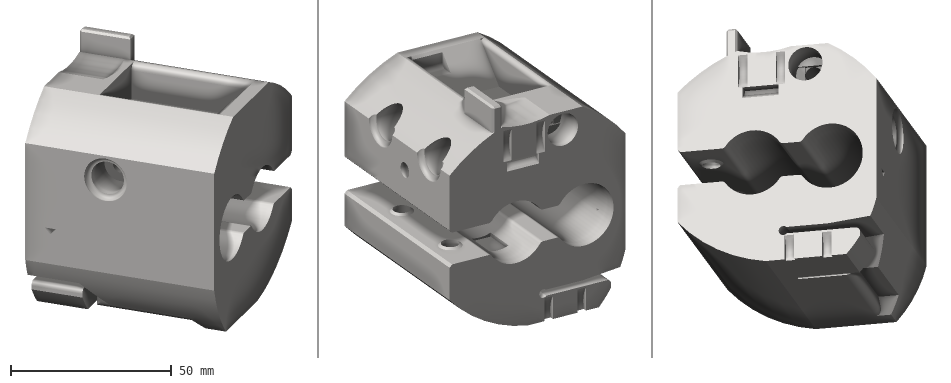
import cadquery as cq
length = 63.5
width = 63.9
top_z = 70.5
tab_top_z = 78.05

front_low_z = 17.8
front_high_z = 57.45
front_shoulder_mid = (7.25, 64.85)
flat_front_y = 15.6
flat_back_y = 44.7
rear_shoulder_mid = (55.0, 65.3)
rear_high_z = 58.4
rear_low_z = 15.5
rear_belly_mid = (51.1, 5.3)
bottom_back_y = 35.6
bottom_front_y = 9.7
front_belly_mid = (4.0, 7.8)

bore_radius = 10.6
bore_z = 33.1
bore_ys = (15.0, 39.8)
gap_height = 10.9
gap_round = 1.4
mouth_chamfer = 0.9
lower_jaw_z = bore_z - gap_height / 2
upper_jaw_z = bore_z + gap_height / 2

screw_xs = (12.5, 41.7)
screw_y = 56.2
screw_radius = 2.9
collar_radius = 3.8
collar_height = 0.6
screw_depth = 7.8

counterbore_radius = 5.5
counterbore_flare = 1.7
counterbore_depth = 12.5
front_hole_x = 27.0
front_hole_z = 49.4
front_hole_radius = 2.6
access_z = 58.9

room_x0 = 18.5
room_x1 = 59.0
room_floor_x1 = 47.6
room_y0 = 17.3
room_y1 = 42.3
room_floor_z = 58.5
room_front_round = 1.65
room_back_round = 2.3

catch_x0 = 52.5
catch_x1 = 58.15
catch_y0 = 31.5
catch_z0 = 64.4
catch_z1 = 69.7
catch_round = 1.6

tab_length = 17.1
tab_y0 = 44.7
tab_y1 = 48.2
tab_base_z = 62.45
tab_chamfer = 0.6
seat_y0 = 27.55
seat_sag = 1.2
seat_length = 15.0
seat_runout = 1.7

cable_y = 22.8
cable_z = 64.2
cable_bore_radius = 5.5
cable_hole_radius = 2.65
cable_bore_depth = 9.4
bridge_step = 0.6

groove_width = 3.05
groove_half_height = 5.35
groove_depth = 1.7
upper_groove_ys = (29.3, 41.4)
upper_groove_z = 63.6
lower_groove_ys = (14.4, 26.4)
lower_groove_z = 2.6

latch_y0 = 31.4
latch_y1 = 43.0
latch_z0 = 54.7
latch_z1 = 58.2
latch_lip_x = 0.6
latch_lip_z = 55.25
latch_break_x = 2.35
latch_break_z = 56.35
latch_depth = 3.5

clip_length = tab_length
slot_root_y = 29.9
slot_root_z = 9.6
slot_root_radius = 1.5
slot_low_z = 8.6
slot_high_z = 10.7
slot_mouth_z = 12.2
slot_bend_y = 15.6
clip_tip_y = 5.2
clip_tip_round = 1.6
relief_ledge_z = 4.5
relief_ledge_x0 = 25.75
relief_ledge_x1 = 52.0
relief_x1 = 56.7
relief_wall_y = 12.5
relief_round = 2.0
slit_x1 = 18.35

sight_x = 8.5
sight_top_z = 29.9
sight_half_width = 1.95
sight_height = 2.0
sight_depth = 6.25
sight_taper = 6

recess_x0 = 10.9
recess_length = 10.9
recess_y0 = 35.9
recess_y1 = 42.9
recess_z = 21.85

overshoot = 3.9


def box(x0, x1, y0, y1, z0, z1):
    """Box between opposite corners."""
    return cq.Workplane("XY").box(x1 - x0, y1 - y0, z1 - z0, centered=False).translate((x0, y0, z0))


def cylinder(radius, height, start, direction):
    """Cylinder from a start point along a direction."""
    return cq.Workplane(cq.Solid.makeCylinder(radius, height, cq.Vector(*start), cq.Vector(*direction)))


def cone(radius0, radius1, height, start, direction):
    """Truncated cone from a start point along a direction."""
    return cq.Workplane(
        cq.Solid.makeCone(radius0, radius1, height, cq.Vector(*start), cq.Vector(*direction))
    )


def flared_bore(x, y, z, direction):
    """Bore along Y, entered at (x, y, z), with a rounded mouth."""
    outer_radius = counterbore_radius + counterbore_flare
    profile = (
        cq.Workplane("XY")
        .lineTo(0, -overshoot)
        .lineTo(outer_radius, -overshoot)
        .lineTo(outer_radius, 0)
        .radiusArc((counterbore_radius, counterbore_flare), -counterbore_flare)
        .lineTo(counterbore_radius, counterbore_depth)
        .lineTo(0, counterbore_depth)
        .close()
    )
    bore = profile.revolve(360, (0, 0, 0), (0, 1, 0))
    if direction < 0:
        bore = bore.rotate((0, 0, 0), (0, 0, 1), 180)
    return bore.translate((x, y, z))


def make_body():
    """Outer block with curved shoulders."""
    return (
        cq.Workplane("YZ")
        .moveTo(0, front_low_z)
        .lineTo(0, front_high_z)
        .threePointArc(front_shoulder_mid, (flat_front_y, top_z))
        .lineTo(flat_back_y, top_z)
        .threePointArc(rear_shoulder_mid, (width, rear_high_z))
        .lineTo(width, rear_low_z)
        .threePointArc(rear_belly_mid, (bottom_back_y, 0))
        .lineTo(bottom_front_y, 0)
        .threePointArc(front_belly_mid, (0, front_low_z))
        .close()
        .extrude(length)
    )


def make_jaw_gap():
    """Two rod bores joined by a gap that opens at the rear face."""
    gap = box(0, length, bore_ys[0], width + overshoot, lower_jaw_z, upper_jaw_z)
    for y in bore_ys:
        gap = gap.union(cylinder(bore_radius, length, (0, y, bore_z), (1, 0, 0)))
    junctions = cq.selectors.BoxSelector((-0.8, 0, 0), (length + 0.8, width, width))
    gap = gap.edges("|X").edges(junctions).fillet(gap_round)
    mouth = (
        cq.Workplane("YZ")
        .moveTo(width - mouth_chamfer, lower_jaw_z)
        .lineTo(width, lower_jaw_z - mouth_chamfer)
        .lineTo(width, upper_jaw_z + mouth_chamfer)
        .lineTo(width - mouth_chamfer, upper_jaw_z)
        .close()
        .extrude(length)
    )
    return gap.union(mouth)


def make_tab():
    """Upright tab at the left end of the top."""
    tab = box(0, tab_length, tab_y0, tab_y1, tab_base_z, tab_top_z)
    return tab.faces(">Z or <X").edges(">Z or (<X and |Z)").chamfer(tab_chamfer)


def make_seat():
    """Shallow dish beside the tab, running out to the flat top on a cone."""
    half_chord = (tab_y0 - seat_y0) / 2
    radius = (half_chord**2 + seat_sag**2) / (2 * seat_sag)
    axis_y = seat_y0 + half_chord
    axis_z = top_z + radius - seat_sag
    seat = cylinder(radius, seat_length, (0, axis_y, axis_z), (1, 0, 0))
    runout = cone(radius, radius - seat_sag, seat_runout, (seat_length, axis_y, axis_z), (1, 0, 0))
    limit = box(0, tab_length, seat_y0, tab_y0, top_z - overshoot, top_z + overshoot)
    return seat.union(runout).intersect(limit)


def make_room():
    """Open compartment with a sloped right end, rounded long rims and a catch recess."""
    room = (
        cq.Workplane("XZ", origin=(0, room_y1, 0))
        .moveTo(room_x0, room_floor_z)
        .lineTo(room_floor_x1, room_floor_z)
        .lineTo(room_x1, top_z)
        .lineTo(room_x0, top_z)
        .close()
        .extrude(room_y1 - room_y0)
    )
    for wall_y, radius, outward in ((room_y0, room_front_round, -1), (room_y1, room_back_round, 1)):
        rim_y = wall_y + outward * radius
        y_low, y_high = sorted((wall_y, rim_y))
        rim = box(room_x0, room_x1, y_low, y_high, top_z - radius, top_z)
        rim = rim.cut(cylinder(radius, length, (0, rim_y, top_z - radius), (1, 0, 0)))
        room = room.union(rim)
    catch = box(catch_x0, catch_x1, catch_y0, room_y1, catch_z0, catch_z1)
    catch = catch.edges("|Y and >X and <Z").fillet(catch_round)
    return room.union(catch)


def make_cable_hole():
    """Large bore stepped down through a slot and a square to a small hole."""
    side = 2 * cable_hole_radius
    bore_start = (0, cable_y, cable_z)
    bore = cylinder(cable_bore_radius, cable_bore_depth, bore_start, (1, 0, 0))
    slot_end = cable_bore_depth + bridge_step
    slot = cylinder(cable_bore_radius, slot_end, bore_start, (1, 0, 0)).intersect(
        box(0, slot_end, 0, width, cable_z - side / 2, cable_z + side / 2)
    )
    square = cq.Workplane("YZ").center(cable_y, cable_z).rect(side, side).extrude(slot_end + bridge_step)
    hole = cylinder(cable_hole_radius, room_x0 + 0.8, bore_start, (1, 0, 0))
    return bore.union(slot).union(square).union(hole)


def make_grooves(y_starts, z):
    """Pair of scooped grooves in the left end, cut by a disc."""
    radius = (groove_half_height**2 + groove_depth**2) / (2 * groove_depth)
    grooves = cq.Workplane()
    for y in y_starts:
        grooves = grooves.add(cylinder(radius, groove_width, (groove_depth - radius, y, z), (0, 1, 0)))
    return grooves.combine()


def make_latch_pocket():
    """Pocket whose floor rises in three slopes to the ceiling."""
    return (
        cq.Workplane("XZ", origin=(0, latch_y1, 0))
        .moveTo(0, latch_z0)
        .lineTo(latch_lip_x, latch_lip_z)
        .lineTo(latch_break_x, latch_break_z)
        .lineTo(latch_depth, latch_z1)
        .lineTo(0, latch_z1)
        .close()
        .extrude(latch_y1 - latch_y0)
    )


def make_clip_slot():
    """Slot above the lower clip, with a round root and a rounded clip tip."""
    slot = (
        cq.Workplane("YZ")
        .moveTo(slot_root_y, slot_low_z)
        .lineTo(clip_tip_y + clip_tip_round, slot_low_z)
        .radiusArc((clip_tip_y, slot_low_z - clip_tip_round), -clip_tip_round)
        .lineTo(clip_tip_y, 0)
        .lineTo(-overshoot, 0)
        .lineTo(-overshoot, slot_mouth_z)
        .lineTo(0, slot_mouth_z)
        .lineTo(slot_bend_y, slot_high_z)
        .lineTo(slot_root_y, slot_high_z)
        .close()
        .extrude(clip_length)
    )
    root = cylinder(slot_root_radius, clip_length, (0, slot_root_y, slot_root_z), (1, 0, 0))
    return slot.union(root)


def make_relief():
    """Relief between the clip and the right end, closed by a round-edged wall beyond a slit."""
    relief = (
        cq.Workplane("XZ", origin=(0, slot_root_y, 0))
        .moveTo(clip_length, 0)
        .lineTo(clip_length, slot_mouth_z)
        .lineTo(relief_ledge_x0, relief_ledge_z)
        .lineTo(relief_ledge_x1, relief_ledge_z)
        .lineTo(relief_x1, 0)
        .close()
        .extrude(slot_root_y + overshoot)
    )
    wall = box(slit_x1, length, relief_wall_y, slot_root_y, 0, slot_mouth_z + overshoot)
    wall = wall.edges("<Y and (<X or <Z)").fillet(relief_round)
    return relief.cut(wall)


def make_sight_hole():
    """Downward triangle that narrows on its way through the front wall."""
    return (
        cq.Workplane("XZ")
        .moveTo(sight_x - sight_half_width, sight_top_z)
        .lineTo(sight_x + sight_half_width, sight_top_z)
        .lineTo(sight_x, sight_top_z - sight_height)
        .close()
        .extrude(-sight_depth, taper=sight_taper)
    )


def make_collar(x, jaw_z, direction):
    """Raised conical ring around a clamp screw hole."""
    return cone(collar_radius, screw_radius, collar_height, (x, screw_y, jaw_z), (0, 0, direction))


def make_screw_hole(x, jaw_z, direction):
    """Blind clamp screw hole that starts at the collar tip and runs into the jaw."""
    start_z = jaw_z - direction * collar_height
    depth = screw_depth + collar_height
    return cylinder(screw_radius, depth, (x, screw_y, start_z), (0, 0, direction))


result = make_body().cut(make_jaw_gap()).cut(make_seat()).union(make_tab())
result = result.cut(make_room()).cut(make_cable_hole()).cut(make_latch_pocket())
result = result.cut(make_grooves(upper_groove_ys, upper_groove_z))
result = result.cut(make_grooves(lower_groove_ys, lower_groove_z))
result = result.cut(make_clip_slot()).cut(make_relief()).cut(make_sight_hole())
result = result.cut(flared_bore(front_hole_x, 0, front_hole_z, 1))
result = result.cut(cylinder(front_hole_radius, width, (front_hole_x, 0, front_hole_z), (0, 1, 0)))
result = result.cut(box(recess_x0, recess_x0 + recess_length, recess_y0, recess_y1, recess_z, bore_z))

for x in screw_xs:
    result = result.cut(flared_bore(x, width, access_z, -1))
    for jaw_z, into_jaw in ((lower_jaw_z, -1), (upper_jaw_z, 1)):
        result = result.union(make_collar(x, jaw_z, -into_jaw))
        result = result.cut(make_screw_hole(x, jaw_z, into_jaw))